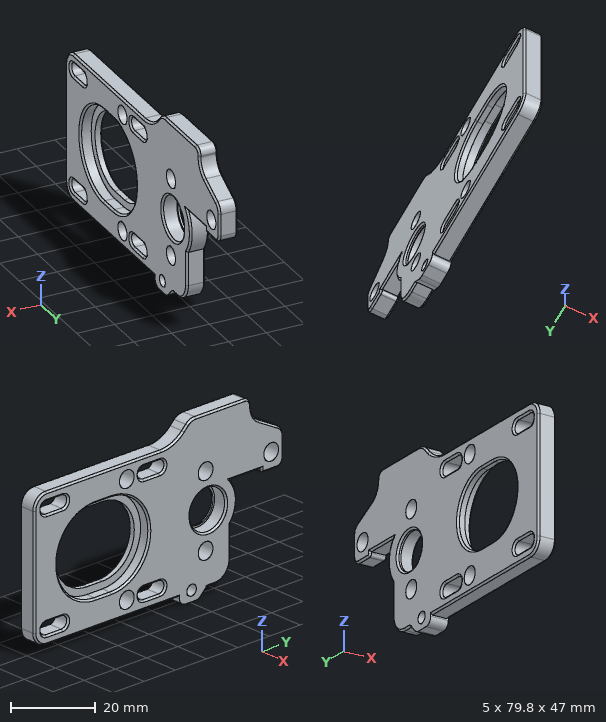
import cadquery as cq
import math

THICKNESS = 5.0
LENGTH = 79.85
OVERALL_HEIGHT = 47.0
EDGE_BREAK = 0.5

SIDE_Y = -22.1
HALF_HEIGHT = 19.65
END_RADIUS = 4.0
SHOULDER_Y = SIDE_Y + 62.9
SHOULDER_RADIUS = 5.0

TOP_Z = 25.0
RAMP_TOP_Y = SIDE_Y + 50.05
RAMP_TOP_RADIUS = 4.0
RAMP_FOOT_RADIUS = 10.0
EAR_Y = SIDE_Y + LENGTH
EAR_WALL_Y = SIDE_Y + 69.5
EAR_WALL_RADIUS = 2.0
EAR_VALLEY_RADIUS = 5.0
EAR_SLOPE_ANGLE = 28.0
EAR_SHOULDER_RADIUS = 3.0
EAR_FOOT_Z = 4.5
EAR_FOOT_RADIUS = 2.0
EAR_LEDGE_Y = SIDE_Y + 72.7
EAR_LEDGE_Z = 5.7
EAR_LEDGE_RADIUS = 0.8

BORE_Y = SIDE_Y + 55.7
BORE_DIAMETER = 10.3
BORE_LIP_DEPTH = 1.0
BORE_SEAT_DIAMETER = 11.3
BORE_WALL_RADIUS = 9.2

TAB_FOOT_Z = TOP_Z - OVERALL_HEIGHT
TAB_ROOT_Z = -16.0
TAB_NEAR_Y = SIDE_Y + 46.5
TAB_FAR_Y = SIDE_Y + 52.6
TAB_NEAR_RADIUS = 2.0
TAB_FAR_RADIUS = 2.4

SCREW_DIAMETER = 4.7
EAR_HOLE = (SIDE_Y + 75.85, 9.1)
BORE_SCREW_Y = SIDE_Y + 54.85
BORE_SCREW_Z = 10.2
PLATE_SCREW_Y = 7.5
TAB_HOLE_DIAMETER = 3.0
TAB_HOLE = (SIDE_Y + 50.4, -19.0)

ROW_Z = 15.5
SLOT_Y = 15.6
SLOT_LENGTH = 8.55
SLOT_WIDTH = 3.4
OPENING_LENGTH = 25.4
OPENING_HEIGHT = 20.35
OPENING_LIP_DEPTH = 2.0
OPENING_LIP_WIDTH = 2.0


def sketch_plane(depth=0.0):
    """YZ plane at the given depth below the plate's -X face."""
    return cq.Workplane("YZ").workplane(offset=depth - THICKNESS / 2)


def rounded_prism(corners):
    """Extrude an outline of (y, z, radius) corners, rounding each corner that has a radius."""
    outline = [(y, z) for y, z, radius in corners]
    solid = sketch_plane().polyline(outline).close().extrude(THICKNESS)
    for y, z, radius in corners:
        if radius > 0:
            corner_edge = cq.selectors.NearestToPointSelector((0, y, z))
            solid = solid.edges("|X").edges(corner_edge).fillet(radius)
    return solid


def plate_body():
    ear_slope = math.tan(math.radians(EAR_SLOPE_ANGLE))
    ear_shoulder_z = HALF_HEIGHT - (EAR_Y - EAR_WALL_Y) * ear_slope
    ramp_foot_y = RAMP_TOP_Y - (TOP_Z - HALF_HEIGHT)
    plate = rounded_prism([
        (SIDE_Y, -HALF_HEIGHT, END_RADIUS),
        (SIDE_Y, HALF_HEIGHT, END_RADIUS),
        (ramp_foot_y, HALF_HEIGHT, RAMP_FOOT_RADIUS),
        (RAMP_TOP_Y, TOP_Z, RAMP_TOP_RADIUS),
        (EAR_WALL_Y, TOP_Z, EAR_WALL_RADIUS),
        (EAR_WALL_Y, HALF_HEIGHT, EAR_VALLEY_RADIUS),
        (EAR_Y, ear_shoulder_z, EAR_SHOULDER_RADIUS),
        (EAR_Y, EAR_FOOT_Z, EAR_FOOT_RADIUS),
        (EAR_LEDGE_Y, EAR_FOOT_Z, EAR_LEDGE_RADIUS),
        (EAR_LEDGE_Y, EAR_LEDGE_Z, 0),
        (SHOULDER_Y, EAR_LEDGE_Z, 0),
        (SHOULDER_Y, -HALF_HEIGHT, SHOULDER_RADIUS),
    ])
    bore_wall = sketch_plane().center(BORE_Y, 0).circle(BORE_WALL_RADIUS).extrude(THICKNESS)
    return plate.union(bore_wall)


def bore_cutter():
    rim = sketch_plane().center(BORE_Y, 0).circle(BORE_DIAMETER / 2).extrude(THICKNESS)
    seat = (
        sketch_plane(BORE_LIP_DEPTH)
        .center(BORE_Y, 0)
        .circle(BORE_SEAT_DIAMETER / 2)
        .extrude(THICKNESS - BORE_LIP_DEPTH)
    )
    return rim.union(seat)


def motor_opening_cutter():
    recess_length = OPENING_LENGTH + 2 * OPENING_LIP_WIDTH
    recess_height = OPENING_HEIGHT + 2 * OPENING_LIP_WIDTH
    rim = sketch_plane().slot2D(OPENING_LENGTH, OPENING_HEIGHT).extrude(THICKNESS)
    recess = (
        sketch_plane(OPENING_LIP_DEPTH)
        .slot2D(recess_length, recess_height)
        .extrude(THICKNESS - OPENING_LIP_DEPTH)
    )
    return rim.union(recess)


def slot_cutter():
    centres = [(y, z) for y in (-SLOT_Y, SLOT_Y) for z in (-ROW_Z, ROW_Z)]
    return sketch_plane().pushPoints(centres).slot2D(SLOT_LENGTH, SLOT_WIDTH).extrude(THICKNESS)


def tab():
    far_run = TAB_ROOT_Z - TAB_FOOT_Z
    return rounded_prism([
        (TAB_NEAR_Y, TAB_ROOT_Z, 0),
        (TAB_NEAR_Y, TAB_FOOT_Z, TAB_NEAR_RADIUS),
        (TAB_FAR_Y, TAB_FOOT_Z, TAB_FAR_RADIUS),
        (TAB_FAR_Y + far_run, TAB_ROOT_Z, 0),
    ])


def cut_plain_holes(body):
    screws = [EAR_HOLE]
    for side in (-1, 1):
        screws.append((BORE_SCREW_Y, side * BORE_SCREW_Z))
        screws.append((PLATE_SCREW_Y, side * ROW_Z))
    screw_holes = sketch_plane().pushPoints(screws).circle(SCREW_DIAMETER / 2).extrude(THICKNESS)
    tab_hole = sketch_plane().pushPoints([TAB_HOLE]).circle(TAB_HOLE_DIAMETER / 2).extrude(THICKNESS)
    return body.cut(screw_holes).cut(tab_hole)


plate = plate_body().cut(bore_cutter()).cut(motor_opening_cutter()).cut(slot_cutter())
chamfered_plate = plate.faces("<X or >X").chamfer(EDGE_BREAK)
result = cut_plain_holes(chamfered_plate.union(tab()))